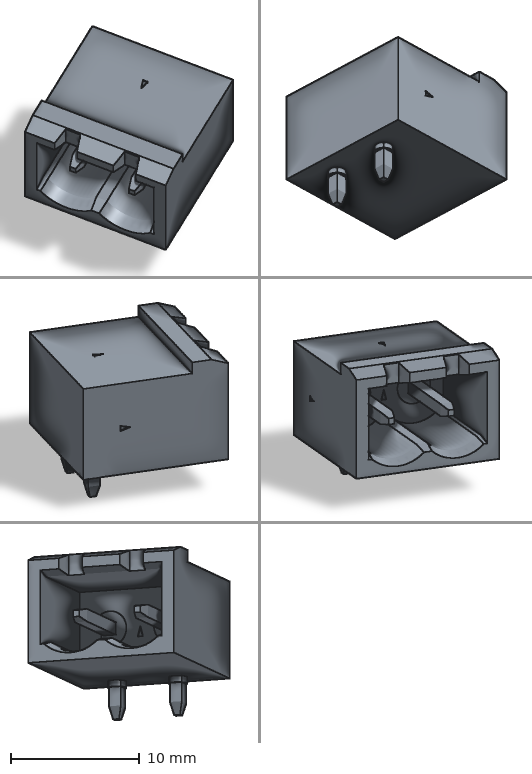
import cadquery as cq


WIDTH = 12.16
DEPTH = 12.0
BODY_HEIGHT = 7.66
LIP_HEIGHT = 8.6
LIP_DEPTH = 3.0
LIP_CHAMFER_DEPTH = 1.4
LIP_CHAMFER_HEIGHT = 0.51

PITCH = 5.08
PIN_XS = [-PITCH / 2, PITCH / 2]
PIN_SIZE = 1.0
PIN_TIP_SIZE = PIN_SIZE / 2
PIN_TIP_LENGTH = 1.0
CONTACT_Z = 3.88
CONTACT_START_Y = 1.24
LEG_Y = 10.0
LEG_LENGTH = 3.0
CONTACT_END_Y = LEG_Y + PIN_SIZE / 2
LEG_TOP_Z = CONTACT_Z - PIN_SIZE / 2

CAVITY_WIDTH = 10.1
CAVITY_DEPTH = 8.39
CAVITY_TOP_Z = 6.93
CAVITY_FLOOR_Z = 1.73
SCOOP_RADIUS = 2.99
MOUTH_DEPTH = 1.14
MOUTH_FLARE = 0.32

NOTCH_DEPTH = 1.29
NOTCH_FRONT_WIDTH = 1.95
NOTCH_BACK_WIDTH = 1.26

COLLAR_RADIUS = 0.72
COLLAR_HEIGHT = 0.5
DISC_RADIUS = 1.4
DISC_THICKNESS = 0.5
DISC_FLAT_OFFSET = 0.69

ARROW_LENGTH = 0.78
ARROW_WIDTH = 0.41
ARROW_RECESS = 0.1
ARROW_TIP_Y = 8.15
WALL_ARROW_BASE_Z = 3.14


def square_bar(plane, start, end):
    """Square bar along the plane's normal, from one offset to the other."""
    return cq.Workplane(plane).workplane(offset=start).rect(PIN_SIZE, PIN_SIZE).extrude(end - start)


def pointed_bar(plane, length):
    """Square bar whose first stretch is a tapered tip starting at the plane's origin."""
    tip = (
        cq.Workplane(plane)
        .rect(PIN_TIP_SIZE, PIN_TIP_SIZE)
        .workplane(offset=PIN_TIP_LENGTH)
        .rect(PIN_SIZE, PIN_SIZE)
        .loft(ruled=True)
    )
    return tip.union(square_bar(plane, PIN_TIP_LENGTH, length))


def backward_plane(x, y, z):
    """Plane facing the back of the housing (+Y), with its local X axis along +X."""
    return cq.Plane(origin=(x, y, z), xDir=(1, 0, 0), normal=(0, 1, 0))


def upward_plane(x, y, z):
    """Plane facing up, with its local axes along +X and +Y."""
    return cq.Plane(origin=(x, y, z))


def make_contact(x):
    """Horizontal contact from the cavity to the back of the solder leg."""
    return pointed_bar(backward_plane(x, CONTACT_START_Y, CONTACT_Z), CONTACT_END_Y - CONTACT_START_Y)


def make_leg(x):
    """Vertical solder leg, meeting the underside of the contact."""
    return pointed_bar(upward_plane(x, LEG_Y, -LEG_LENGTH), LEG_TOP_Z + LEG_LENGTH)


def make_collar(x):
    """Round collar around the leg, against the underside of the housing."""
    plane = upward_plane(x, LEG_Y, -COLLAR_HEIGHT)
    collar = cq.Workplane(plane).circle(COLLAR_RADIUS).extrude(COLLAR_HEIGHT)
    return collar.cut(square_bar(plane, 0, COLLAR_HEIGHT))


def disc_blank(x, has_flat):
    """Disc without its hole, flush with the cavity's back wall, with an optional flat on its -X side."""
    plane = backward_plane(x, CAVITY_DEPTH, CONTACT_Z)
    blank = cq.Workplane(plane).circle(DISC_RADIUS).extrude(DISC_THICKNESS)
    if not has_flat:
        return blank
    kept_width = DISC_FLAT_OFFSET + DISC_RADIUS
    kept = (
        cq.Workplane(plane)
        .center(kept_width / 2 - DISC_FLAT_OFFSET, 0)
        .rect(kept_width, 2 * DISC_RADIUS)
        .extrude(DISC_THICKNESS)
    )
    return blank.intersect(kept)


def make_disc(x, has_flat):
    """Disc in the cavity's back wall, with a square hole for the contact."""
    hole = square_bar(backward_plane(x, CAVITY_DEPTH, CONTACT_Z), 0, DISC_THICKNESS)
    return disc_blank(x, has_flat).cut(hole)


def make_cavity():
    """Cavity with a scooped floor, flaring at top and bottom toward its mouth."""
    cavity = (
        cq.Workplane("YZ")
        .polyline(
            [
                (0, CAVITY_FLOOR_Z - MOUTH_FLARE),
                (MOUTH_DEPTH, CAVITY_FLOOR_Z),
                (CAVITY_DEPTH, CAVITY_FLOOR_Z),
                (CAVITY_DEPTH, CAVITY_TOP_Z),
                (MOUTH_DEPTH, CAVITY_TOP_Z),
                (0, CAVITY_TOP_Z + MOUTH_FLARE),
            ]
        )
        .close()
        .extrude(CAVITY_WIDTH / 2, both=True)
    )
    scoop_limits = (
        cq.Workplane("XY")
        .rect(CAVITY_WIDTH, 2 * CAVITY_DEPTH)
        .extrude(CONTACT_Z)
    )
    for x in PIN_XS:
        scoop = (
            cq.Workplane("XY")
            .polyline(
                [
                    (0, 0),
                    (SCOOP_RADIUS + MOUTH_FLARE, 0),
                    (SCOOP_RADIUS, MOUTH_DEPTH),
                    (SCOOP_RADIUS, CAVITY_DEPTH),
                    (0, CAVITY_DEPTH),
                ]
            )
            .close()
            .revolve(360, (0, 0, 0), (0, 1, 0))
            .translate((x, 0, CONTACT_Z))
        )
        cavity = cavity.union(scoop.intersect(scoop_limits))
    return cavity


def make_notch(x):
    """Notch through the lip into the cavity, narrowing toward the back."""
    return (
        cq.Workplane("XY")
        .workplane(offset=CONTACT_Z)
        .polyline(
            [
                (x - NOTCH_FRONT_WIDTH / 2, 0),
                (x + NOTCH_FRONT_WIDTH / 2, 0),
                (x + NOTCH_BACK_WIDTH / 2, NOTCH_DEPTH),
                (x - NOTCH_BACK_WIDTH / 2, NOTCH_DEPTH),
            ]
        )
        .close()
        .extrude(LIP_HEIGHT - CONTACT_Z)
    )


def make_arrow(base_centre, tip_direction, outward):
    """Cutter for an arrow recess, sunk into the face with the given outward normal."""
    plane = cq.Plane(origin=base_centre, xDir=tip_direction, normal=outward)
    return (
        cq.Workplane(plane)
        .polyline([(0, -ARROW_WIDTH / 2), (ARROW_LENGTH, 0), (0, ARROW_WIDTH / 2)])
        .close()
        .extrude(-ARROW_RECESS)
    )


def make_housing():
    """Housing with its cavity, notches, arrow recesses and seats for the other bodies."""
    housing = (
        cq.Workplane("YZ")
        .polyline(
            [
                (0, 0),
                (DEPTH, 0),
                (DEPTH, BODY_HEIGHT),
                (LIP_DEPTH, BODY_HEIGHT),
                (LIP_DEPTH, LIP_HEIGHT),
                (LIP_CHAMFER_DEPTH, LIP_HEIGHT),
                (0, LIP_HEIGHT - LIP_CHAMFER_HEIGHT),
            ]
        )
        .close()
        .extrude(WIDTH / 2, both=True)
        .cut(make_cavity())
    )
    arrow_base_y = ARROW_TIP_Y + ARROW_LENGTH
    housing = housing.cut(make_arrow((0, arrow_base_y, BODY_HEIGHT), (0, -1, 0), (0, 0, 1)))
    housing = housing.cut(make_arrow((-WIDTH / 2, arrow_base_y, CONTACT_Z), (0, -1, 0), (-1, 0, 0)))
    housing = housing.cut(make_arrow((0, CAVITY_DEPTH, WALL_ARROW_BASE_Z), (0, 0, 1), (0, -1, 0)))
    for index, x in enumerate(PIN_XS):
        housing = housing.cut(make_notch(x))
        housing = housing.cut(disc_blank(x, index == 0))
        housing = housing.cut(make_contact(x))
        housing = housing.cut(make_leg(x))
    return housing


housing = make_housing()
contacts = [make_contact(x) for x in PIN_XS]
legs = [make_leg(x) for x in PIN_XS]
collars = [make_collar(x) for x in PIN_XS]
discs = [make_disc(x, index == 0) for index, x in enumerate(PIN_XS)]

small_bodies = contacts + legs + collars + discs
result = cq.Compound.makeCompound([housing.val()] + [body.val() for body in small_bodies])